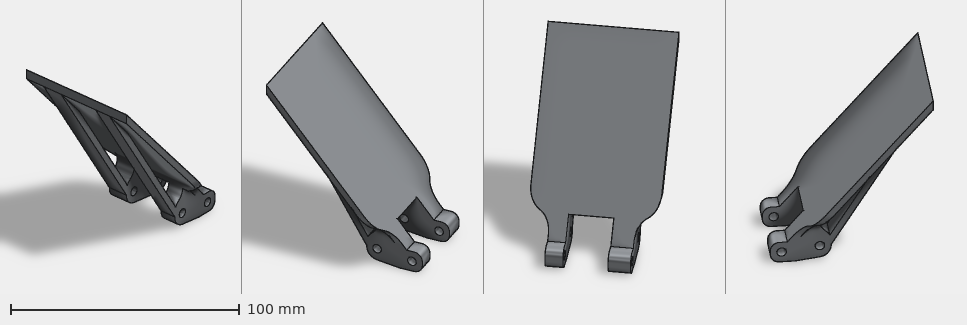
import cadquery as cq
import math

width = 58.0
depth = 70.63
height = 83.81

plate_thickness = 3.0
shoulder_radius = 9.0
shoulder_top = 28.55
notch_height = 19.57

left_rib = (10.0, 20.0)
right_rib = (40.0, 48.0)
strut_thickness = 3.0

lug_height = 10.0
lug_top_length = 7.5
lug_corner_radius = 4.0
base_rise_angle = math.radians(7.0)
heel_reach = 26.85
heel_height = 7.4
heel_centre_height = 7.1
heel_radius = 5.8
hole_diameter = 4.15
hole_centres = ((5.0, 5.0), (21.85, 7.1))

window_floor_end = (25.2, 13.7)
window_floor_angle = math.radians(44.0)
window_radius = 6.1
crest_radius = 4.5

plate_foot = (lug_top_length, lug_height)
tip_top = (depth, height)
plate_angle = math.atan2(height - lug_height, depth - lug_top_length)
plate_drop = plate_thickness / math.cos(plate_angle)
tip_bottom = (depth, height - plate_drop)
heel = (heel_reach, heel_height)
strut_angle = math.atan2(tip_bottom[1] - heel_height, depth - heel_reach)
strut_rise = strut_thickness / math.cos(strut_angle)


def underside_height(reach):
    return tip_bottom[1] - (depth - reach) * math.tan(plate_angle)


def underside_reach(level):
    return depth - (tip_bottom[1] - level) / math.tan(plate_angle)


def strut_inner_height(reach):
    return heel_height + strut_rise + (reach - heel_reach) * math.tan(strut_angle)


def on_circle(centre, radius, angle):
    return (centre[0] + radius * math.cos(angle), centre[1] + radius * math.sin(angle))


apex_reach = depth - strut_rise / (math.tan(strut_angle) - math.tan(plate_angle))
window_apex = (apex_reach, underside_height(apex_reach))

round_plate_drop = window_radius / math.cos(plate_angle)
round_floor_rise = window_radius / math.cos(window_floor_angle)
floor_level = window_floor_end[1] + window_floor_end[0] * math.tan(window_floor_angle)
round_reach = (floor_level + round_floor_rise - underside_height(0) + round_plate_drop) / (
    math.tan(plate_angle) + math.tan(window_floor_angle)
)
round_centre = (round_reach, underside_height(round_reach) - round_plate_drop)
plate_tangent_angle = plate_angle + math.pi / 2
floor_tangent_angle = 3 * math.pi / 2 - window_floor_angle
round_middle_angle = (plate_tangent_angle + floor_tangent_angle) / 2
round_at_plate = on_circle(round_centre, window_radius, plate_tangent_angle)
round_middle = on_circle(round_centre, window_radius, round_middle_angle)
round_at_floor = on_circle(round_centre, window_radius, floor_tangent_angle)

crest_start_angle = math.pi / 2 - window_floor_angle
crest_centre = on_circle(window_floor_end, -crest_radius, crest_start_angle)
strut_offset = (strut_inner_height(crest_centre[0]) - crest_centre[1]) * math.cos(strut_angle)
crest_end_angle = strut_angle + math.pi / 2 - math.acos(strut_offset / crest_radius)
crest_middle = on_circle(crest_centre, crest_radius, (crest_start_angle + crest_end_angle) / 2)
crest_end = on_circle(crest_centre, crest_radius, crest_end_angle)


def side_sketch(x_start):
    """Sketch plane facing -X: first axis from the lug end toward -Y, second axis up."""
    return cq.Workplane(cq.Plane(origin=(x_start, 0, 0), xDir=(0, -1, 0), normal=(-1, 0, 0)))


def extrude_along_x(sketch, length):
    """Extrude toward +X, against the normal of the side sketch plane."""
    return sketch.extrude(-length)


def make_rib(x_start, x_end):
    """Lug, strut and plate section in one piece, with the window and pin holes cut out."""
    length = x_end - x_start
    heel_start_angle = math.asin((heel_height - heel_centre_height) / heel_radius)
    heel_centre = (heel_reach - heel_radius * math.cos(heel_start_angle), heel_centre_height)
    heel_end_angle = base_rise_angle - math.pi / 2
    base_end = on_circle(heel_centre, heel_radius, heel_end_angle)
    heel_middle = on_circle(heel_centre, heel_radius, (heel_start_angle + heel_end_angle) / 2)
    flat_base_length = base_end[0] - base_end[1] / math.tan(base_rise_angle)
    outline = (
        side_sketch(x_start)
        .moveTo(0, 0)
        .lineTo(flat_base_length, 0)
        .lineTo(*base_end)
        .threePointArc(heel_middle, heel)
        .lineTo(*tip_bottom)
        .lineTo(*tip_top)
        .lineTo(*plate_foot)
        .lineTo(0, lug_height)
        .close()
    )
    rib = extrude_along_x(outline, length).edges("|X and >Y").fillet(lug_corner_radius)
    window = (
        side_sketch(x_start)
        .moveTo(*crest_end)
        .lineTo(*window_apex)
        .lineTo(*round_at_plate)
        .threePointArc(round_middle, round_at_floor)
        .lineTo(*window_floor_end)
        .threePointArc(crest_middle, crest_end)
        .close()
    )
    holes = side_sketch(x_start).pushPoints(hole_centres).circle(hole_diameter / 2)
    return rib.cut(extrude_along_x(window, length)).cut(extrude_along_x(holes, length))


def make_plate():
    """Full-width sloping slab, from the lug top to the tip."""
    outline = side_sketch(0).polyline(
        [plate_foot, tip_top, tip_bottom, (underside_reach(lug_height), lug_height)]
    ).close()
    return extrude_along_x(outline, width)


def make_fillet_web():
    """Rounded web in the plate underside, from the left rib to the right plate edge."""
    web_end_angle = math.pi - math.asin((notch_height - round_centre[1]) / window_radius)
    web_middle_angle = (plate_tangent_angle + web_end_angle) / 2
    outline = (
        side_sketch(left_rib[0])
        .moveTo(underside_reach(notch_height), notch_height)
        .lineTo(*round_at_plate)
        .threePointArc(
            on_circle(round_centre, window_radius, web_middle_angle),
            on_circle(round_centre, window_radius, web_end_angle),
        )
        .close()
    )
    return extrude_along_x(outline, width - left_rib[0])


def make_front_outline():
    """Prism along Y that trims the plate: S-shaped shoulders and the notch between ribs."""
    inset = left_rib[0]
    sweep = math.acos(1 - inset / 2 / shoulder_radius)
    arc_drop = shoulder_radius * math.sin(sweep)
    bulge_inset = shoulder_radius * (1 - math.cos(sweep / 2))
    bulge_drop = shoulder_radius * math.sin(sweep / 2)
    shoulder_middle = shoulder_top - arc_drop
    shoulder_bottom = shoulder_top - 2 * arc_drop
    upper_bulge = (bulge_inset, shoulder_top - bulge_drop)
    inflection = (inset / 2, shoulder_middle)
    lower_bulge = (inset - bulge_inset, shoulder_bottom + bulge_drop)

    def mirrored(point):
        return (width - point[0], point[1])

    outline = (
        cq.Workplane("XZ")
        .moveTo(0, height)
        .lineTo(0, shoulder_top)
        .threePointArc(upper_bulge, inflection)
        .threePointArc(lower_bulge, (inset, shoulder_bottom))
        .lineTo(left_rib[0], 0)
        .lineTo(left_rib[1], 0)
        .lineTo(left_rib[1], notch_height)
        .lineTo(right_rib[0], notch_height)
        .lineTo(right_rib[0], 0)
        .lineTo(right_rib[1], 0)
        .lineTo(right_rib[1], shoulder_bottom)
        .threePointArc(mirrored(lower_bulge), mirrored(inflection))
        .threePointArc(mirrored(upper_bulge), (width, shoulder_top))
        .lineTo(width, height)
        .close()
    )
    return outline.extrude(depth)


result = make_plate().union(make_fillet_web()).intersect(make_front_outline())
for rib_span in (left_rib, right_rib):
    result = result.union(make_rib(*rib_span))